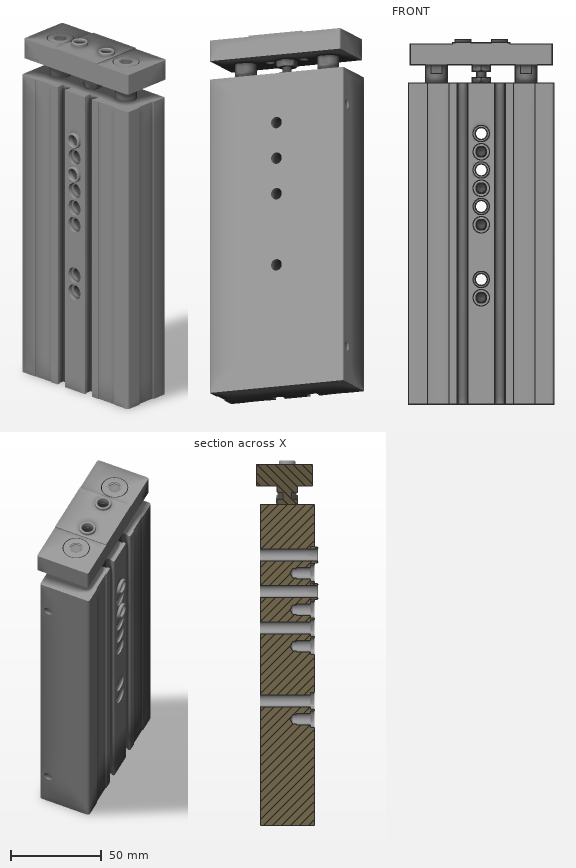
import cadquery as cq
import math

total_height = 200.5
sleeve_projection = 1.8
front_extent = 16.8
back_extent = 17.0

housing_width = 80.0
housing_height = 176.5
housing_front = front_extent - sleeve_projection
housing_back = 14.8
front_edge_radius = 1.5
back_edge_radius = 0.8

band_depth = 0.5
band_x = 23.6
band_width = 11.8
side_band_width = 11.2
side_band_depth = 0.8

slot_x = 10.2
slot_mouth_width = 5.2
slot_mouth_chamfer = 0.5
slot_lip = 1.6
slot_cavity_width = 6.5
slot_depth = 5.5

sleeve_diameter = 9.0
sleeve_bore = 6.5
seat_depth = 2.2
thread_diameter = 6.0
thread_depth = 10.0
drill_diameter = 5.0
drill_depth = 12.0
clearance_diameter = sleeve_bore
drill_point_angle = 118.0
hole_pitch = 10.0
top_hole_z = 148.7
hole_slots = [0, 1, 2, 3, 4, 5, 8, 9]
front_sleeve_slots = [0, 2]

port_y = 9.8
port_heights = [20.2, 156.7]
port_diameter = 5.0
port_depth = 8.0
port_drill_diameter = 4.2
port_drill_depth = 10.0

yoke_width = 78.2
yoke_depth = 31.0
yoke_corner_radius = 1.0
pad_width = 31.7
pad_height = 0.6
pad_top = total_height - sleeve_projection
yoke_top = pad_top - pad_height
yoke_bottom = 186.4
yoke_hole_x = 10.0

rod_x = 24.6
rod_diameter = 12.0
rod_flats = 10.5
rod_flat_height = 4.8
screw_head_diameter = 14.0
screw_head_height = 8.0
screw_seat_diameter = 15.0
socket_across_flats = 6.0
socket_depth = 0.8
socket_lead_diameter = 7.6
socket_lead_depth = 0.5

hex_across_flats = 10.0
stop_shank_diameter = 5.0
lock_nut_height = 3.6
stop_head_height = 2.8


def hexagon_corner_width(across_flats):
    return across_flats / math.cos(math.radians(30))


def hexagon_prism(across_flats, height):
    """Hexagonal prism on Z = 0 with two corners on the Y axis."""
    return (
        cq.Workplane("XY")
        .polygon(6, hexagon_corner_width(across_flats))
        .extrude(height)
        .rotate((0, 0, 0), (0, 0, 1), 30)
    )


def drilled_hole(diameter, depth):
    """Blind drill cutter that starts at Z = 0, runs down and ends in a drill point."""
    radius = diameter / 2
    point = radius / math.tan(math.radians(drill_point_angle / 2))
    return (
        cq.Workplane("XZ")
        .polyline([(0, 0), (radius, 0), (radius, -depth), (0, -depth - point)])
        .close()
        .revolve(360, (0, 0, 0), (0, 1, 0))
    )


def bore(diameter, depth):
    """Flat-ended cutter that starts at Z = 0 and runs down."""
    return cq.Workplane("XY").circle(diameter / 2).extrude(-depth)


def to_front(shape, z):
    """Turn a shape whose outer end faces +Z so that it faces -Y, at height z on the housing front."""
    return shape.rotate((0, 0, 0), (1, 0, 0), 90).translate((0, -housing_front, z))


def hole_height(slot):
    return top_hole_z - slot * hole_pitch


def t_slot_cutter(x):
    """Undercut slot along the housing front with a chamfered mouth."""
    mouth = slot_mouth_width / 2
    cavity = slot_cavity_width / 2
    half = [
        (mouth + slot_mouth_chamfer, 0),
        (mouth, slot_mouth_chamfer),
        (mouth, slot_lip),
        (cavity, slot_lip),
        (cavity, slot_depth),
    ]
    mirrored = [(-across, inward) for across, inward in reversed(half)]
    return (
        cq.Workplane("XY")
        .polyline(half + mirrored)
        .close()
        .extrude(housing_height)
        .translate((x, -housing_front, 0))
    )


def housing_block():
    depth = housing_front + housing_back
    return (
        cq.Workplane("XY")
        .box(housing_width, depth, housing_height, centered=(True, False, False))
        .translate((0, -housing_front, 0))
        .edges("|Z and <Y")
        .fillet(front_edge_radius)
        .edges("|Z and >Y")
        .fillet(back_edge_radius)
    )


def cut_bands(body):
    """Relief bands in the front face and in the +X face, over the full height."""
    front_band = (
        cq.Workplane("XY")
        .box(band_width, 2 * band_depth, housing_height, centered=(True, True, False))
        .translate((0, -housing_front, 0))
    )
    for x in (-band_x, band_x):
        body = body.cut(front_band.translate((x, 0, 0)))
    side_band = (
        cq.Workplane("XY")
        .box(2 * side_band_depth, side_band_width, housing_height, centered=(True, True, False))
        .translate((housing_width / 2, 0, 0))
    )
    return body.cut(side_band)


def cut_front_holes(body):
    """Column of seats: clearance holes go through, threaded holes between them are blind."""
    through_depth = housing_front + housing_back
    for slot in hole_slots:
        z = hole_height(slot)
        body = body.cut(to_front(bore(sleeve_diameter, seat_depth), z))
        is_through = slot % 2 == 0
        if is_through:
            body = body.cut(to_front(bore(clearance_diameter, through_depth), z))
        else:
            body = body.cut(to_front(bore(thread_diameter, thread_depth), z))
            body = body.cut(to_front(drilled_hole(drill_diameter, drill_depth), z))
    return body


def cut_ports(body):
    port = bore(port_diameter, port_depth).union(drilled_hole(port_drill_diameter, port_drill_depth))
    port = port.rotate((0, 0, 0), (0, 1, 0), -90)
    for z in port_heights:
        body = body.cut(port.translate((-housing_width / 2, port_y, z)))
    return body


def make_housing():
    body = cut_bands(housing_block())
    for x in (-slot_x, slot_x):
        body = body.cut(t_slot_cutter(x))
    return cut_ports(cut_front_holes(body))


def yoke_plate():
    """Plate with a raised middle pad, seats for the rod screws and threaded sleeve holes."""
    plate_center_y = back_extent - yoke_depth / 2
    plate = (
        cq.Workplane("XY")
        .box(yoke_width, yoke_depth, yoke_top - yoke_bottom, centered=(True, True, False))
        .edges("|Z")
        .fillet(yoke_corner_radius)
        .translate((0, plate_center_y, yoke_bottom))
    )
    pad = (
        cq.Workplane("XY")
        .box(pad_width, yoke_depth, pad_height, centered=(True, True, False))
        .translate((0, plate_center_y, yoke_top))
    )
    plate = plate.union(pad)
    for x in (-rod_x, rod_x):
        plate = plate.cut(bore(screw_seat_diameter, screw_head_height).translate((x, 0, yoke_top)))
    for x in (-yoke_hole_x, yoke_hole_x):
        plate = plate.cut(bore(sleeve_diameter, seat_depth).translate((x, 0, pad_top)))
        plate = plate.cut(bore(thread_diameter, thread_depth).translate((x, 0, pad_top)))
        plate = plate.cut(bore(drill_diameter, pad_top - yoke_bottom).translate((x, 0, pad_top)))
    return plate


def guide_rod():
    """Rod from the housing to the yoke with two wrench flats at its upper end."""
    length = yoke_bottom - housing_height
    rod = cq.Workplane("XY").circle(rod_diameter / 2).extrude(length)
    flat_zone = cq.Workplane("XY").box(
        rod_diameter, rod_flats, rod_flat_height, centered=(True, True, False)
    )
    upper = rod.intersect(flat_zone.translate((0, 0, length - rod_flat_height)))
    lower = cq.Workplane("XY").circle(rod_diameter / 2).extrude(length - rod_flat_height)
    return lower.union(upper).translate((0, 0, housing_height))


def hex_head(height):
    """Hexagon head on Z = 0 whose lower corners are bevelled."""
    across_corners = hexagon_corner_width(hex_across_flats)
    bevel = (across_corners - hex_across_flats) / 2
    envelope = cq.Workplane("XY").circle(across_corners / 2).extrude(height).faces("<Z").chamfer(bevel)
    return hexagon_prism(hex_across_flats, height).intersect(envelope)


def stop_screw():
    length = yoke_bottom - housing_height
    shank = cq.Workplane("XY").circle(stop_shank_diameter / 2).extrude(length)
    lock_nut = hex_head(lock_nut_height).translate((0, 0, length - lock_nut_height))
    return shank.union(hex_head(stop_head_height)).union(lock_nut).translate((0, 0, housing_height))


def make_moving_assembly():
    """Yoke, both guide rods and the stop screw, which travel as one body."""
    body = yoke_plate().union(stop_screw())
    for x in (-rod_x, rod_x):
        body = body.union(guide_rod().translate((x, 0, 0)))
    return body


def make_rod_screw():
    """Socket screw head with its top at Z = 0."""
    head = bore(screw_head_diameter, screw_head_height)
    socket = hexagon_prism(socket_across_flats, socket_depth).translate((0, 0, -socket_depth))
    lead = bore(socket_lead_diameter, socket_lead_depth)
    return head.cut(socket).cut(lead)


def make_sleeve():
    """Centring sleeve whose seat plane is Z = 0 and whose fully rounded end points to +Z."""
    inner = sleeve_bore / 2
    outer = sleeve_diameter / 2
    end_radius = (outer - inner) / 2
    shoulder = sleeve_projection - end_radius
    return (
        cq.Workplane("XZ")
        .moveTo(inner, -seat_depth)
        .lineTo(outer, -seat_depth)
        .lineTo(outer, shoulder)
        .threePointArc((inner + end_radius, sleeve_projection), (inner, shoulder))
        .close()
        .revolve(360, (0, 0, 0), (0, 1, 0))
    )


housing = make_housing()
moving_assembly = make_moving_assembly()
rod_screws = [make_rod_screw().translate((x, 0, yoke_top)) for x in (-rod_x, rod_x)]
yoke_sleeves = [make_sleeve().translate((x, 0, pad_top)) for x in (-yoke_hole_x, yoke_hole_x)]
front_sleeves = [to_front(make_sleeve(), hole_height(slot)) for slot in front_sleeve_slots]

bodies = [housing, moving_assembly, *rod_screws, *yoke_sleeves, *front_sleeves]
result = cq.Compound.makeCompound([body.val() for body in bodies])